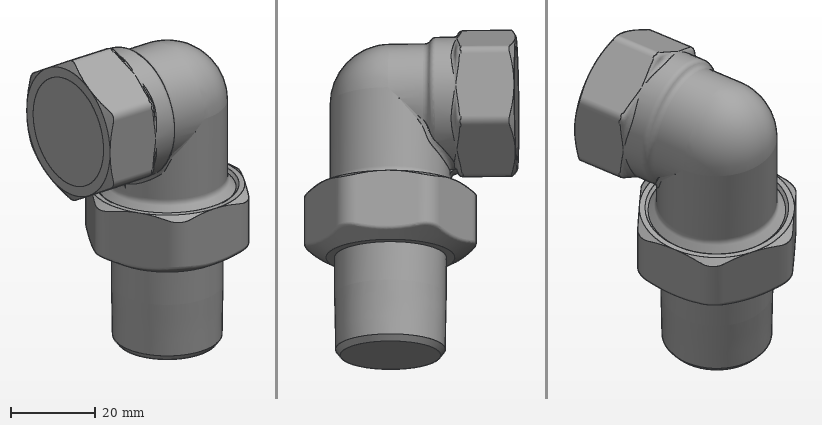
import cadquery as cq
import math

arm_turn = 8.2
bevel_slope = math.tan(math.radians(30))

tail_radius = 13.3
tail_taper_height = 14.7
tail_tip_radius = 13.0
tail_chamfer = 1.1
tail_chamfer_height = 1.4
tail_flange_height = 2.4

nut_bottom = 24.15
nut_height = 16.15
nut_apothem = 18.4
nut_corner_round = 5.5
nut_foot_radius = 15.3
nut_edge_round = 0.95
nut_floor = 3.2
nut_bore_radius = 16.3
nut_bore_bevel = 0.7

tube_radius = 14.3
arm_height = 62.0
arm_length = 29.9
foot_blend_top = 42.5
foot_blend_bottom = 41.0
foot_blend_radius = 14.95
port_radius = 13.4

collar_start = 8.3
collar_end = 11.1
hex_back = 16.0
hex_apothem = 15.9
hex_stand = 0.1
hex_corner_round = 2.5
back_round = 1.35
back_steps = 6
blend_sink = 0.02
cast_round = 1.6

collar_radius = hex_apothem - hex_stand
nut_top = nut_bottom + nut_height
flange_bottom = nut_bottom + nut_floor
elbow_bottom = flange_bottom + tail_flange_height
shoulder_top = nut_top - nut_bore_bevel
port_depth = arm_length - hex_back


def corner_radius(apothem, corner_round):
    """Distance from the axis to the rounded corner of a hexagon."""
    return (apothem - corner_round) / math.cos(math.radians(30)) + corner_round


def rounded_hexagon(apothem, corner_round, bottom, top):
    """Upright hexagonal prism with rounded corners, one corner towards -Y."""
    across_corners = 2 * apothem / math.cos(math.radians(30))
    return (
        cq.Workplane("XY", origin=(0, 0, bottom))
        .transformed(rotate=(0, 0, 90))
        .polygon(6, across_corners)
        .extrude(top - bottom)
        .edges("|Z")
        .fillet(corner_round)
    )


def turned(outline):
    """Solid of revolution about Z from an outline in the XZ plane."""
    return outline.close().revolve(360, (0, 0, 0), (0, 1, 0))


def s_curve(outline, start, end):
    """Add two equal tangent arcs that leave and arrive parallel to Z."""
    (r0, z0), (r1, z1) = start, end
    rise = r1 - r0
    run = z1 - z0
    half_turn = math.atan2(abs(rise), abs(run))
    arc_radius = abs(run) / 2 / math.sin(2 * half_turn)
    side = math.copysign(arc_radius * (1 - math.cos(half_turn)), rise)
    along = math.copysign(arc_radius * math.sin(half_turn), run)
    middle = ((r0 + r1) / 2, (z0 + z1) / 2)
    return (
        outline
        .threePointArc((r0 + side, z0 + along), middle)
        .threePointArc((r1 - side, z1 - along), end)
    )


def make_tail():
    return turned(
        cq.Workplane("XZ")
        .polyline([
            (0, 0),
            (tail_tip_radius - tail_chamfer, 0),
            (tail_tip_radius, tail_chamfer_height),
            (tail_radius, tail_taper_height),
            (tail_radius, flange_bottom),
            (nut_bore_radius, flange_bottom),
            (nut_bore_radius, elbow_bottom),
            (0, elbow_bottom),
        ])
    )


def make_nut():
    reach = corner_radius(nut_apothem, nut_corner_round) + 0.8
    blank = rounded_hexagon(nut_apothem, nut_corner_round, nut_bottom, nut_top)
    bevels = turned(
        cq.Workplane("XZ")
        .polyline([
            (0, nut_bottom),
            (nut_foot_radius, nut_bottom),
            (reach, nut_bottom + (reach - nut_foot_radius) * bevel_slope),
            (reach, nut_top - (reach - nut_apothem) * bevel_slope),
            (nut_apothem, nut_top),
            (0, nut_top),
        ])
    )
    body = blank.intersect(bevels)
    lower = cq.selectors.BoxSelector((-32, -32, nut_bottom + 0.4), (32, 32, nut_bottom + 4))
    body = body.edges(lower).fillet(nut_edge_round)
    bore = turned(
        cq.Workplane("XZ")
        .polyline([
            (0, nut_bottom),
            (tail_radius, nut_bottom),
            (tail_radius, flange_bottom),
            (nut_bore_radius, flange_bottom),
            (nut_bore_radius, shoulder_top),
            (nut_bore_radius + nut_bore_bevel, nut_top),
            (0, nut_top),
        ])
    )
    return body.cut(bore)


def make_upright():
    """Upright tube with the conical shoulder that sits in the nut."""
    rise = foot_blend_radius - tube_radius
    run = foot_blend_top - foot_blend_bottom
    half_turn = math.atan2(rise, run)
    arc_radius = run / math.sin(2 * half_turn)
    blend_middle = (
        tube_radius + arc_radius * (1 - math.cos(half_turn)),
        foot_blend_top - arc_radius * math.sin(half_turn),
    )
    return turned(
        cq.Workplane("XZ")
        .moveTo(0, elbow_bottom)
        .lineTo(nut_bore_radius, elbow_bottom)
        .lineTo(nut_bore_radius, shoulder_top)
        .lineTo(foot_blend_radius, foot_blend_bottom)
        .threePointArc(blend_middle, (tube_radius, foot_blend_top))
        .lineTo(tube_radius, arm_height)
        .lineTo(0, arm_height)
    )


def hexagon_reach(turn):
    """Distance from the axis to the rounded hexagon, at a turn from one of its corners."""
    round_centre = (hex_apothem - hex_corner_round) / math.cos(math.radians(30))
    flat_start = math.radians(30) - math.atan2(round_centre / 2, hex_apothem)
    if abs(turn) > flat_start:
        return hex_apothem / math.cos(math.radians(30) - abs(turn))
    aside = round_centre * math.sin(turn)
    return round_centre * math.cos(turn) + math.sqrt(hex_corner_round ** 2 - aside ** 2)


def back_section(turn):
    """Section of the waste behind the hexagon: an S curve as tall as the hexagon stands over the collar."""
    top = hexagon_reach(turn) + blend_sink
    base = collar_radius - blend_sink
    height = top - base
    run = math.sqrt(4 * back_round * height - height ** 2)
    foot = hex_back - run / 2
    crest = hex_back + run / 2
    outside = top + back_round
    behind = hex_back - 2 * back_round
    outline = s_curve(
        cq.Workplane("XZ").moveTo(base, behind).lineTo(base, foot),
        (base, foot), (top, crest),
    )
    section = outline.lineTo(outside, crest).lineTo(outside, behind).close().val()
    return section.rotate(cq.Vector(0, 0, 0), cq.Vector(0, 0, 1), math.degrees(turn) - 90)


def make_head():
    """Hexagon of the arm, built along +Z, each corner flowing down onto the collar."""
    reach = corner_radius(hex_apothem, hex_corner_round) + 0.8
    bevel = turned(
        cq.Workplane("XZ")
        .polyline([
            (0, 0),
            (reach, 0),
            (reach, arm_length - (reach - hex_apothem) * bevel_slope),
            (hex_apothem, arm_length),
            (0, arm_length),
        ])
    )
    head = rounded_hexagon(hex_apothem, hex_corner_round, hex_back - back_round, arm_length)
    head = head.intersect(bevel)
    turns = [math.radians(30 * step / back_steps) for step in range(-back_steps, back_steps + 1)]
    waste = cq.Workplane(cq.Solid.makeLoft([back_section(turn) for turn in turns]))
    for corner in range(6):
        head = head.cut(waste.rotate((0, 0, 0), (0, 0, 1), 60 * corner))
    return head


def make_arm():
    """Arm, collar and hexagon, built along +Z and laid over towards -Y."""
    arm = s_curve(
        cq.Workplane("XZ").moveTo(0, 0).lineTo(tube_radius, 0).lineTo(tube_radius, collar_start),
        (tube_radius, collar_start), (collar_radius, collar_end),
    )
    arm = turned(arm.lineTo(collar_radius, hex_back).lineTo(0, hex_back))
    return arm.union(make_head()).rotate((0, 0, 0), (1, 0, 0), 90).translate((0, 0, arm_height))


def arm_radius_at(distance):
    """Radius of the arm, from tube to collar, at a distance along it."""
    share = (distance - collar_start) / (collar_end - collar_start)
    share = min(max(share, 0), 1)
    return tube_radius + (collar_radius - tube_radius) * (1 - math.cos(math.pi * share)) / 2


def head_corner_radius_at(distance):
    """Radius halfway up the S curve behind a hexagon corner, the same at every distance."""
    return (collar_radius + corner_radius(hex_apothem, hex_corner_round)) / 2


def blend_section(turn, radius_at):
    """Section of the blend at a turn about the upright: two faces sunk into the tubes and one hollow arc."""
    up = cq.Vector(0, 0, arm_height)
    reach = tube_radius + cast_round
    side = reach * math.sin(turn)
    out = reach * math.cos(turn)
    arm_radius = radius_at(out)
    drop = math.sqrt((arm_radius + cast_round) ** 2 - side ** 2)
    centre = cq.Vector(side, -out, -drop) + up
    upright_share = (tube_radius - blend_sink) / reach
    arm_share = (arm_radius - blend_sink) / (arm_radius + cast_round)
    on_upright = cq.Vector(side * upright_share, -out * upright_share, -drop) + up
    on_arm = cq.Vector(side * arm_share, -out, -drop * arm_share) + up
    inward = on_upright + on_arm - centre * 2
    deepest = centre + inward.normalized() * cast_round
    buried = centre + inward
    return cq.Wire.assembleEdges([
        cq.Edge.makeLine(buried, on_upright),
        cq.Edge.makeThreePointArc(on_upright, deepest, on_arm),
        cq.Edge.makeLine(on_arm, buried),
    ])


def make_blend(half_angle, steps, radius_at):
    """Concave fillet in the corner between the upright tube and the underside of the arm."""
    turns = [math.radians(half_angle * step / steps) for step in range(-steps, steps + 1)]
    return cq.Workplane(cq.Solid.makeLoft([blend_section(turn, radius_at) for turn in turns]))


def make_elbow():
    ball = cq.Workplane("XY").sphere(tube_radius).translate((0, 0, arm_height))
    body = make_upright().union(make_arm()).union(ball)
    body = body.union(make_blend(80, 20, arm_radius_at))
    body = body.union(make_blend(8, 3, head_corner_radius_at))
    return body.cut(make_plug())


def make_plug():
    return (
        cq.Workplane("XZ", origin=(0, -arm_length, arm_height))
        .circle(port_radius)
        .extrude(-port_depth)
    )


def placed(body):
    """Solid of a body, turned to its final direction."""
    return body.rotate((0, 0, 0), (0, 0, 1), arm_turn).val()


tail = placed(make_tail())
nut = placed(make_nut())
elbow = placed(make_elbow())
plug = placed(make_plug())

result = cq.Compound.makeCompound([tail, nut, elbow, plug])